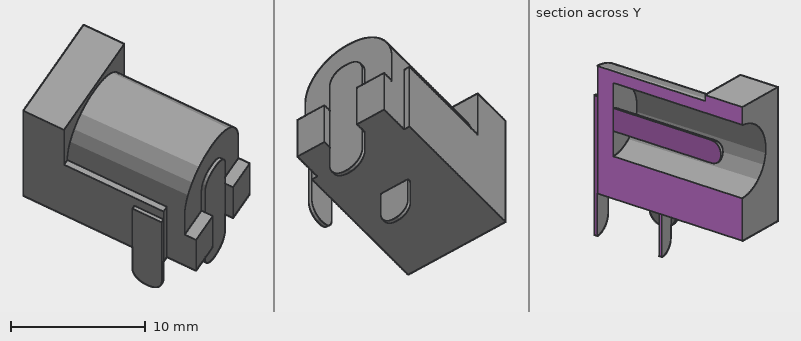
import cadquery as cq

OVERALL_LENGTH = 14.5
OVERALL_HEIGHT = 14.5
LEG_LENGTH = 3.5

HOUSING_WIDTH = 8.99
HOUSING_HEIGHT = OVERALL_HEIGHT - LEG_LENGTH
COLLAR_LENGTH = 3.5
BASE_LENGTH = 12.0
EAR_LENGTH = 0.97
BARREL_LENGTH = OVERALL_LENGTH - EAR_LENGTH
BARREL_WIDTH = 8.0
CROWN_FLAT = 0.2
CROWN_RADIUS = (BARREL_WIDTH - CROWN_FLAT) / 2
AXIS_HEIGHT = HOUSING_HEIGHT - HOUSING_WIDTH / 2
BARREL_TOP = AXIS_HEIGHT + BARREL_WIDTH / 2
EAR_HEIGHT = 4.0
SOCKET_DIAMETER = 6.0
SOCKET_DEPTH = BASE_LENGTH

PIN_DIAMETER = 1.95
PIN_TIP_FLAT = 0.2
PIN_TIP_RADIUS = (PIN_DIAMETER - PIN_TIP_FLAT) / 2
PIN_TIP_X = 2.0

SHEET = 0.3
LEG_TIP_FLAT = 0.1
CONTACT_WIDTH = 2.5
SIDE_CONTACT_TOP = 5.5
SPRING_CONTACT_X = 7.5
REAR_CONTACT_WIDTH = 3.0
REAR_CONTACT_TOP = 8.0
REAR_CORNER_RADIUS = 1.35


def box(x_start, x_end, width, height):
    """Block standing on Z = 0 and centred on Y = 0."""
    block = cq.Workplane("XY", origin=(x_start, 0, 0))
    return block.box(x_end - x_start, width, height, centered=(False, True, False))


def make_barrel():
    """Tall block with both upper edges rounded almost to a half circle."""
    return box(0, BARREL_LENGTH, BARREL_WIDTH, BARREL_TOP).edges("|X and >Z").fillet(CROWN_RADIUS)


def make_ears():
    """Two rear blocks with a gap for the rear contact between them."""
    ears = box(BARREL_LENGTH, OVERALL_LENGTH, BARREL_WIDTH, EAR_HEIGHT)
    return ears.cut(box(BARREL_LENGTH, OVERALL_LENGTH, REAR_CONTACT_WIDTH, EAR_HEIGHT))


def cylinder_along_x(x_start, x_end, diameter):
    """Cylinder on the axis of the jack."""
    end_plane = cq.Workplane("YZ", origin=(x_start, 0, AXIS_HEIGHT))
    return end_plane.circle(diameter / 2).extrude(x_end - x_start)


def make_housing():
    housing = box(0, COLLAR_LENGTH, HOUSING_WIDTH, HOUSING_HEIGHT)
    housing = housing.union(box(0, BASE_LENGTH, HOUSING_WIDTH, AXIS_HEIGHT))
    housing = housing.union(make_barrel())
    housing = housing.union(make_ears())
    housing = housing.cut(cylinder_along_x(0, SOCKET_DEPTH, SOCKET_DIAMETER))
    return housing


def make_centre_pin():
    """Pin standing on the socket floor, with a rounded tip."""
    pin = cylinder_along_x(PIN_TIP_X, SOCKET_DEPTH, PIN_DIAMETER)
    return pin.faces("<X").edges().fillet(PIN_TIP_RADIUS)


def contact_strip(plane, width, top):
    """Flat strip from height `top` down to a leg end rounded almost to a half circle."""
    height = top + LEG_LENGTH
    strip = plane.center(0, top - height / 2).rect(width, height).extrude(SHEET)
    tip_edges = strip.faces("<Z").edges(cq.selectors.ParallelDirSelector(plane.plane.zDir))
    return tip_edges.fillet((width - LEG_TIP_FLAT) / 2)


def make_side_contact():
    """Strip on the -Y side, flush with the rear end of the base."""
    origin = (BASE_LENGTH - CONTACT_WIDTH / 2, -HOUSING_WIDTH / 2, 0)
    return contact_strip(cq.Workplane("XZ", origin=origin), CONTACT_WIDTH, SIDE_CONTACT_TOP)


def make_spring_contact():
    """Leg below the underside of the base."""
    plane = cq.Workplane("YZ", origin=(SPRING_CONTACT_X, 0, 0))
    return contact_strip(plane, CONTACT_WIDTH, 0)


def make_rear_contact():
    """Strip on the rear face, between the ears, with rounded upper corners."""
    plane = cq.Workplane("YZ", origin=(BARREL_LENGTH, 0, 0))
    strip = contact_strip(plane, REAR_CONTACT_WIDTH, REAR_CONTACT_TOP)
    return strip.faces(">Z").edges("|X").fillet(REAR_CORNER_RADIUS)


housing = make_housing()
centre_pin = make_centre_pin()
side_contact = make_side_contact()
spring_contact = make_spring_contact()
rear_contact = make_rear_contact()

result = cq.Compound.makeCompound(
    [
        housing.val(),
        centre_pin.val(),
        side_contact.val(),
        spring_contact.val(),
        rear_contact.val(),
    ]
)